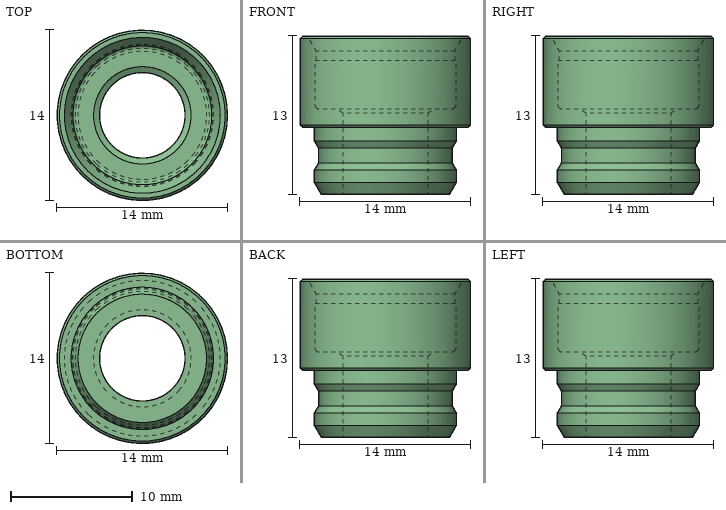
import cadquery as cq
import math

total_height = 13.0
head_diameter = 14.0
head_bottom = 5.5
head_chamfer = 0.2
spigot_diameter = 11.7
lead_in_height = 1.0
lead_in_angle = math.radians(30)

groove_diameter = 11.0
groove_bottom = 2.0
groove_top = 4.4
groove_flank_height = 0.6

mouth_diameter = 12.8
throat_diameter = 11.4
mouth_depth = 1.2
throat_depth = 2.0
socket_diameter = 11.6
socket_depth = 6.0
floor_fillet = 0.4

bore_diameter = 7.0
countersink_diameter = 8.0
countersink_angle = math.radians(30)

head_radius = head_diameter / 2
spigot_radius = spigot_diameter / 2
groove_radius = groove_diameter / 2
mouth_radius = mouth_diameter / 2
throat_radius = throat_diameter / 2
socket_radius = socket_diameter / 2
bore_radius = bore_diameter / 2
countersink_radius = countersink_diameter / 2
floor_z = total_height - socket_depth


def revolve_profile(profile):
    """Turn a closed (radius, height) profile about the Z axis."""
    return profile.close().revolve(360, (0, 0, 0), (0, 1, 0))


def outer_body():
    """Solid head and spigot, with the tapered lead-in at the lower end."""
    profile = (
        cq.Workplane("XZ")
        .moveTo(0, 0)
        .lineTo(spigot_radius - lead_in_height * math.tan(lead_in_angle), 0)
        .lineTo(spigot_radius, lead_in_height)
        .lineTo(spigot_radius, head_bottom)
        .lineTo(head_radius - head_chamfer, head_bottom)
        .lineTo(head_radius, head_bottom + head_chamfer)
        .lineTo(head_radius, total_height - head_chamfer)
        .lineTo(head_radius - head_chamfer, total_height)
        .lineTo(0, total_height)
    )
    return revolve_profile(profile)


def groove():
    """Ring with sloped flanks to cut from the spigot."""
    profile = (
        cq.Workplane("XZ")
        .moveTo(spigot_radius, groove_bottom)
        .lineTo(groove_radius, groove_bottom + groove_flank_height)
        .lineTo(groove_radius, groove_top - groove_flank_height)
        .lineTo(spigot_radius, groove_top)
    )
    return revolve_profile(profile)


def socket():
    """Conical mouth, narrow throat and wider socket with a rounded floor corner."""
    arc_offset = floor_fillet * math.sqrt(0.5)
    arc_middle = (
        socket_radius - floor_fillet + arc_offset,
        floor_z + floor_fillet - arc_offset,
    )
    profile = (
        cq.Workplane("XZ")
        .moveTo(0, floor_z)
        .lineTo(socket_radius - floor_fillet, floor_z)
        .threePointArc(arc_middle, (socket_radius, floor_z + floor_fillet))
        .lineTo(socket_radius, total_height - throat_depth)
        .lineTo(throat_radius, total_height - throat_depth)
        .lineTo(throat_radius, total_height - mouth_depth)
        .lineTo(mouth_radius, total_height)
        .lineTo(0, total_height)
    )
    return revolve_profile(profile)


def bore():
    """Through bore with its countersink opening into the socket floor."""
    countersink_depth = (countersink_radius - bore_radius) * math.tan(countersink_angle)
    profile = (
        cq.Workplane("XZ")
        .moveTo(0, 0)
        .lineTo(bore_radius, 0)
        .lineTo(bore_radius, floor_z - countersink_depth)
        .lineTo(countersink_radius, floor_z)
        .lineTo(0, floor_z)
    )
    return revolve_profile(profile)


result = outer_body().cut(groove()).cut(socket()).cut(bore())